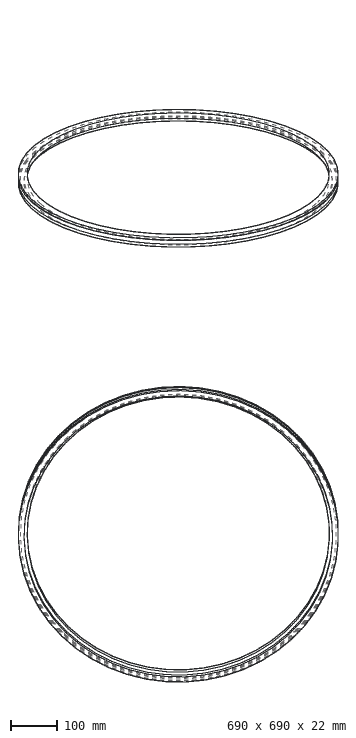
import cadquery as cq

outer_diameter = 690.0
bore_diameter = 651.5
height = 22.0
upper_rim_height = 6.0
lower_rim_height = 7.0
counterbore_diameter = 665.0
counterbore_depth = 10.0

outer_radius = outer_diameter / 2
groove_bottom = lower_rim_height
groove_top = height - upper_rim_height
groove_middle = (groove_bottom + groove_top) / 2
groove_depth = (groove_top - groove_bottom) / 2

ring = cq.Workplane("XY").circle(outer_radius).circle(bore_diameter / 2).extrude(height)

counterbore = cq.Workplane("XY").circle(counterbore_diameter / 2).extrude(counterbore_depth)

groove = (
    cq.Workplane("XZ")
    .moveTo(outer_radius, groove_bottom)
    .threePointArc((outer_radius - groove_depth, groove_middle), (outer_radius, groove_top))
    .close()
    .revolve(360, (0, 0), (0, 1))
)

result = ring.cut(counterbore).cut(groove)